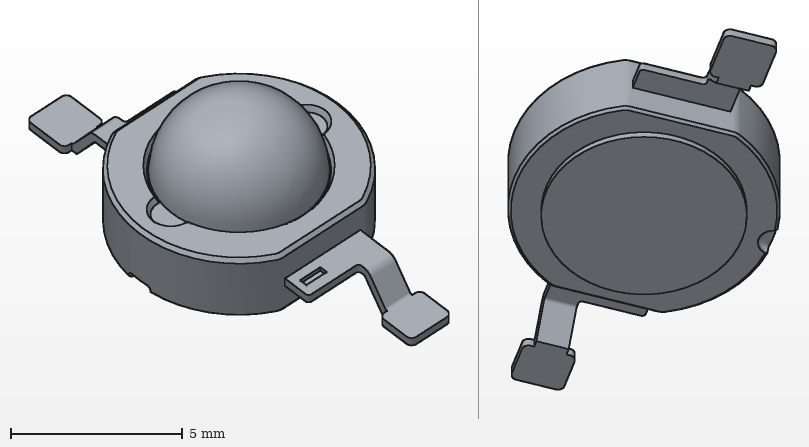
import cadquery as cq
import math

base_height = 0.22
housing_top = 2.52
housing_radius = 3.97
flat_distance = 3.6
flat_corner_radius = 0.5
top_chamfer = 0.13
bottom_chamfer = 0.09
slug_diameter = 6.0

recess_depth = 0.2
recess_top_radius = 2.8
recess_floor_radius = 2.7
relief_offset = 2.7
relief_top_radius = 0.7
relief_floor_radius = 0.59
recess_floor = housing_top - recess_depth

gate_top = 0.49
gate_radius = 0.46
gate_fillet = 0.13

total_height = 4.92
lens_radius = 2.65
lens_center = total_height - lens_radius

lead_thickness = 0.3
pad_bottom = 0.13
lead_top = 1.48
lead_bottom = lead_top - lead_thickness
bend_angle = 54.0
outer_bend_radius = 0.42
inner_bend_radius = outer_bend_radius - lead_thickness
plate_half_width = 1.5
strip_width = 1.0
plate_corner_radius = 0.12
pad_width = 1.61
pad_corner_radius = 0.2
lead_end = 7.2
lead_root = 3.31
bend_gap = 0.25
left_plate_end = 4.35
right_plate_end = 4.61

mark_length = 0.27
mark_width = 0.8
mark_depth = 0.15
mark_x = 4.09
mark_y = -0.82


def make_cone(y, bottom, top, bottom_radius, top_radius):
    """Vertical truncated cone on the YZ plane between two heights."""
    cone = cq.Solid.makeCone(bottom_radius, top_radius, top - bottom, cq.Vector(0, y, bottom))
    return cq.Workplane(cone)


def make_case():
    """Disc with two flats, rounded corners and chamfered rims."""
    outline = (
        cq.Sketch()
        .circle(housing_radius)
        .rect(2 * flat_distance, 3 * housing_radius, mode="i")
        .vertices()
        .fillet(flat_corner_radius)
    )
    case = (
        cq.Workplane("XY", origin=(0, 0, base_height))
        .placeSketch(outline)
        .extrude(housing_top - base_height)
    )
    case = case.faces(">Z").edges().chamfer(top_chamfer)
    return case.faces("<Z").edges().chamfer(bottom_chamfer)


def make_gate():
    """Round notch rising from the underside at the -Y rim, with a rounded ceiling edge."""
    return (
        cq.Workplane("XY", origin=(0, -housing_radius, base_height))
        .circle(gate_radius)
        .extrude(gate_top - base_height)
        .faces(">Z")
        .edges()
        .fillet(gate_fillet)
    )


def make_recess():
    """Tapered round recess for the lens with its two reliefs."""
    recess = make_cone(0, recess_floor, housing_top, recess_floor_radius, recess_top_radius)
    for side in (-1, 1):
        relief = make_cone(
            side * relief_offset, recess_floor, housing_top, relief_floor_radius, relief_top_radius
        )
        recess = recess.union(relief)
    return recess


def make_lead(plate_end):
    """Lead towards +X: wide plate, strip bent down on the +Y side, and solder pad."""
    inner_bend = plate_end + bend_gap
    bend_run = (lead_bottom - pad_bottom) / math.tan(math.radians(bend_angle))
    half_bend_slope = math.tan(math.radians(bend_angle / 2))
    miter = lead_thickness * half_bend_slope
    lower_bend = inner_bend + bend_run
    pad_start = lower_bend + miter + inner_bend_radius * half_bend_slope
    pad_top = pad_bottom + lead_thickness
    strip_y = plate_half_width - strip_width / 2

    profile = [
        (lead_root, lead_top),
        (inner_bend + miter, lead_top),
        (lower_bend + miter, pad_top),
        (pad_start + pad_corner_radius, pad_top),
        (pad_start + pad_corner_radius, pad_bottom),
        (lower_bend, pad_bottom),
        (inner_bend, lead_bottom),
        (lead_root, lead_bottom),
    ]
    strip = (
        cq.Workplane("XZ", origin=(0, plate_half_width, 0))
        .polyline(profile)
        .close()
        .extrude(strip_width)
    )
    rounded_bends = (
        (inner_bend, lead_bottom, inner_bend_radius),
        (inner_bend + miter, lead_top, outer_bend_radius),
        (lower_bend + miter, pad_top, inner_bend_radius),
    )
    for bend_x, bend_z, radius in rounded_bends:
        bend_edge = cq.NearestToPointSelector((bend_x, strip_y, bend_z))
        strip = strip.edges(bend_edge).fillet(radius)

    plate = (
        cq.Workplane("XY", origin=(0, 0, lead_bottom))
        .moveTo((lead_root + plate_end) / 2, 0)
        .rect(plate_end - lead_root, 2 * plate_half_width)
        .extrude(lead_thickness)
    )
    pad = (
        cq.Workplane("XY", origin=(0, 0, pad_bottom))
        .moveTo((pad_start + lead_end) / 2, strip_y)
        .rect(lead_end - pad_start, pad_width)
        .extrude(lead_thickness)
        .edges("|Z")
        .fillet(pad_corner_radius)
    )
    lead = plate.union(strip)
    for corner_y in (-plate_half_width, plate_half_width - strip_width):
        corner = (plate_end, corner_y, lead_top - lead_thickness / 2)
        lead = lead.edges(cq.NearestToPointSelector(corner)).fillet(plate_corner_radius)
    return lead.union(pad)


def make_mark():
    """Rectangular pocket in the top face of the right plate."""
    mark_plane = cq.Workplane("XY", origin=(mark_x, mark_y, lead_top))
    return mark_plane.rect(mark_length, mark_width).extrude(-mark_depth)


def make_housing():
    """Case, heat slug and both leads as one molded body."""
    slug = cq.Workplane("XY").circle(slug_diameter / 2).extrude(base_height)
    right_lead = make_lead(right_plate_end).cut(make_mark())
    left_lead = make_lead(left_plate_end).rotate((0, 0, 0), (0, 0, 1), 180)
    case = make_case().cut(make_recess()).cut(make_gate())
    return case.union(slug).union(right_lead).union(left_lead)


def make_lens():
    """Spherical dome standing on the recess floor."""
    sphere = cq.Workplane("XY", origin=(0, 0, lens_center)).sphere(lens_radius)
    keep = (
        cq.Workplane("XY", origin=(0, 0, recess_floor))
        .circle(lens_radius)
        .extrude(total_height)
    )
    return sphere.intersect(keep)


housing = make_housing()
lens = make_lens()
result = cq.Compound.makeCompound([housing.val(), lens.val()])